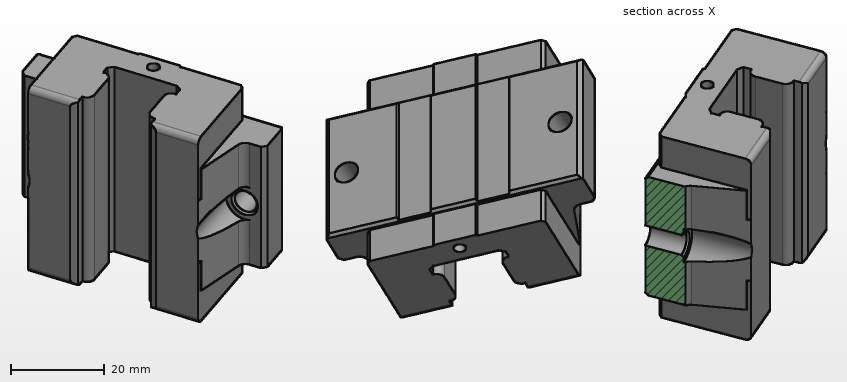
import cadquery as cq
import math


FLANGE_WIDTH = 59.0
HEIGHT = 23.0
LENGTH = 49.2

CORE_HALF_WIDTH = 20.5
CORE_TOP = 21.8
CORE_TOP_CHAMFER = 0.8
RIDGE_TOP = 22.1
RIDGE_HALF_WIDTH = 5.15
RIDGE_SLOPE = RIDGE_TOP - CORE_TOP
FOOT_END_RADIUS = 1.4

FLANGE_LENGTH = 32.35
FLANGE_BOTTOM = 14.0
FLANGE_CHAMFER = 1.0
FLANGE_END_CHAMFER = 0.7
WING_FILLET = 2.0
WING_ANGLE = 14.8
LEDGE_HEIGHT = 1.0
LEDGE_INNER_Z = 8.3

GROOVE_INNER_X = 5.1
GROOVE_OUTER_X = 13.0
GROOVE_DEPTH = 0.5
GROOVE_SLOPE = 0.35

CHANNEL_HALF_WIDTH = 8.75
CHANNEL_TOP = 15.3
CHANNEL_CHAMFER_X = 1.25
CHANNEL_CHAMFER_Y = 0.9
LUG_HALF_GAP = 6.7
LUG_TOP = 12.5
LUG_BOTTOM = 2.6
LUG_FILLET = 1.75
FOOT_CHAMFER_X = 1.6
FOOT_CHAMFER_Y = 0.65

BOLT_X = 24.55
BOLT_HOLE_RADIUS = 2.65
BOLT_HOLE_CHAMFER = 0.55
SPOTFACE_RADIUS = 4.4

LUBE_Y = 19.05
LUBE_RADIUS = 1.35
LUBE_DEPTH = 2.35
DRILL_POINT_ANGLE = 118.0


def prism(points, length):
    """Extrude an XY outline along Z, centred on Z = 0."""
    return cq.Workplane("XY").polyline(points).close().extrude(length / 2, both=True)


def box(x_range, y_range, z_range):
    """Make a box from its limits on each axis."""
    sizes = [high - low for low, high in (x_range, y_range, z_range)]
    corner = (x_range[0], y_range[0], z_range[0])
    return cq.Workplane("XY").box(*sizes, centered=False).translate(corner)


def both_sides(solid):
    """Join a solid with its mirror image across X = 0."""
    return solid.union(solid.mirror("YZ"))


def make_core():
    width = 2 * CORE_HALF_WIDTH
    core = (
        cq.Workplane("XY")
        .box(width, CORE_TOP, LENGTH)
        .translate((0, CORE_TOP / 2, 0))
        .edges(">Y and |Z").chamfer(CORE_TOP_CHAMFER)
        .edges("<Y and |X").fillet(FOOT_END_RADIUS)
    )
    ridge_top_half_width = RIDGE_HALF_WIDTH - RIDGE_SLOPE
    ridge = prism(
        [
            (-RIDGE_HALF_WIDTH, CORE_TOP),
            (-ridge_top_half_width, RIDGE_TOP),
            (ridge_top_half_width, RIDGE_TOP),
            (RIDGE_HALF_WIDTH, CORE_TOP),
        ],
        LENGTH,
    )
    return core.union(ridge)


def make_flange():
    half = FLANGE_WIDTH / 2
    wing_root_x = CORE_HALF_WIDTH + FLANGE_BOTTOM * math.tan(math.radians(WING_ANGLE))
    right_half = [
        (CORE_HALF_WIDTH, 0),
        (wing_root_x, FLANGE_BOTTOM),
        (half - FLANGE_CHAMFER, FLANGE_BOTTOM),
        (half, FLANGE_BOTTOM + FLANGE_CHAMFER),
        (half, HEIGHT - FLANGE_CHAMFER),
        (half - FLANGE_CHAMFER, HEIGHT),
    ]
    left_half = [(-x, y) for x, y in reversed(right_half)]
    flange = prism(right_half + left_half, FLANGE_LENGTH)

    for side in (-1, 1):
        corner = cq.selectors.NearestToPointSelector((side * wing_root_x, FLANGE_BOTTOM, 0))
        flange = flange.edges("|Z").edges(corner).fillet(WING_FILLET)

    flange = flange.edges(">Y and |X").chamfer(FLANGE_END_CHAMFER)
    return flange.cut(make_ledges()).cut(make_grooves())


def make_ledges():
    """Steps that trim the foot of each wing flush with the core, away from the middle."""
    ledge = box(
        (CORE_HALF_WIDTH, FLANGE_WIDTH / 2),
        (0, LEDGE_HEIGHT),
        (LEDGE_INNER_Z, FLANGE_LENGTH / 2),
    )
    return both_sides(ledge.union(ledge.mirror("XY")))


def make_grooves():
    floor_y = HEIGHT - GROOVE_DEPTH
    groove = prism(
        [
            (GROOVE_INNER_X, HEIGHT),
            (GROOVE_INNER_X + GROOVE_SLOPE, floor_y),
            (GROOVE_OUTER_X - GROOVE_SLOPE, floor_y),
            (GROOVE_OUTER_X, HEIGHT),
        ],
        FLANGE_LENGTH,
    )
    return both_sides(groove)


def make_channel():
    half = CHANNEL_HALF_WIDTH
    right_half = [
        (half + FOOT_CHAMFER_X, 0),
        (half, FOOT_CHAMFER_Y),
        (half, CHANNEL_TOP - CHANNEL_CHAMFER_Y),
        (half - CHANNEL_CHAMFER_X, CHANNEL_TOP),
    ]
    left_half = [(-x, y) for x, y in reversed(right_half)]
    return prism(right_half + left_half, LENGTH).cut(make_lugs())


def make_lugs():
    lug = box(
        (LUG_HALF_GAP, CHANNEL_HALF_WIDTH),
        (LUG_BOTTOM, LUG_TOP),
        (-LENGTH / 2, LENGTH / 2),
    )
    return both_sides(lug.edges("<X and |Z").fillet(LUG_FILLET))


def make_bolt_holes():
    """Spotface below the flange, then a chamfered hole up through it."""
    mouth_radius = BOLT_HOLE_RADIUS + BOLT_HOLE_CHAMFER
    profile = [
        (0, 0),
        (SPOTFACE_RADIUS, 0),
        (SPOTFACE_RADIUS, FLANGE_BOTTOM),
        (mouth_radius, FLANGE_BOTTOM),
        (BOLT_HOLE_RADIUS, FLANGE_BOTTOM + BOLT_HOLE_CHAMFER),
        (BOLT_HOLE_RADIUS, HEIGHT),
        (0, HEIGHT),
    ]
    hole = cq.Workplane("XY").polyline(profile).close().revolve(360, (0, 0, 0), (0, 1, 0))
    return both_sides(hole.translate((BOLT_X, 0, 0)))


def make_lube_holes():
    """Blind drilled hole with a conical bottom in each end face."""
    point_length = LUBE_RADIUS / math.tan(math.radians(DRILL_POINT_ANGLE / 2))
    end_z = LENGTH / 2
    shoulder_z = end_z - LUBE_DEPTH
    profile = [
        (0, end_z),
        (LUBE_RADIUS, end_z),
        (LUBE_RADIUS, shoulder_z),
        (0, shoulder_z - point_length),
    ]
    hole = cq.Workplane("XZ").polyline(profile).close().revolve(360, (0, 0, 0), (0, 1, 0))
    hole = hole.translate((0, LUBE_Y, 0))
    return hole.union(hole.mirror("XY"))


result = (
    make_core()
    .union(make_flange())
    .cut(make_channel())
    .cut(make_bolt_holes())
    .cut(make_lube_holes())
)